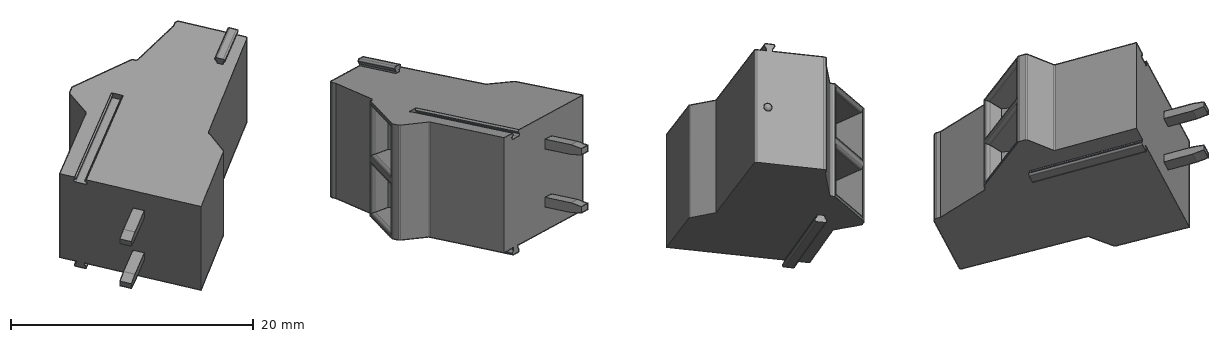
import cadquery as cq
import math


overall_length = 23.1
body_height = 10.07
body_back = 19.4
pole_pitch = 5.08
pole_centers = [(body_height - pole_pitch) / 2, (body_height + pole_pitch) / 2]
front_wall_x = 2.0
base_right_x = 14.25

slant_angle = math.radians(40)
slant_length = 5.87
nose_x = 0.0
nose_top_y = 9.63
nose_bottom_y = 8.92
slant_end_x = nose_x + slant_length * math.sin(slant_angle)
slant_end_y = nose_top_y + slant_length * math.cos(slant_angle)
under_nose_y = nose_bottom_y - (front_wall_x - nose_x) * math.tan(slant_angle)

ledge_inner = (4.18, slant_end_y)
slope_top = (5.87, 18.75)
back_left = (slope_top[0], body_back)
back_right = (12.05, body_back)
right_notch = (12.27, 8.18)
right_shoulder = (14.11, 6.54)

nose_radius = 0.23
ledge_radius = 0.23
back_left_radius = 0.32
small_radius = 0.18

mouth_height = 4.62
mouth_lower_margin = 0.32
mouth_upper_margin = 0.23
lip_radius = 0.28
guide_depth = 1.1
ramp_depth = 1.32
ramp_rise = 1.45
socket_depth = 0.7
socket_height = 2.77

rib_height = 0.62
groove_depth = 0.55
neck_depth = 0.16
head_depth = 0.18
front_dovetail_x = 3.8
front_dovetail_length = 10.0
bottom_neck = 0.7
bottom_head = 1.05
groove_neck = 0.75
groove_mouth = 1.02
groove_head = 1.15
top_rib_x = 10.8
top_rib_length = 3.55
top_neck = 0.53
top_head = 0.9
head_round = 0.16

pin_length = 3.53
pin_taper_length = 1.0
pin_x = 8.85
pin_width = 1.0
pin_thickness = 0.85
pin_tip_thickness = 0.55

dome_x = 10.95
dome_diameter = 0.7
dome_height = overall_length - pin_length - body_back


def make_body():
    corners = [
        (front_wall_x, 0),
        (base_right_x, 0),
        right_shoulder,
        right_notch,
        back_right,
        back_left,
        slope_top,
        ledge_inner,
        (slant_end_x, slant_end_y),
        (nose_x, nose_top_y),
        (nose_x, nose_bottom_y),
        (front_wall_x, under_nose_y),
    ]
    rounded_corners = [
        ((nose_x, nose_top_y), nose_radius),
        ((nose_x, nose_bottom_y), nose_radius),
        ((front_wall_x, under_nose_y), small_radius),
        (ledge_inner, ledge_radius),
        (back_left, back_left_radius),
        (back_right, small_radius),
        (right_shoulder, small_radius),
    ]
    body = cq.Workplane("XY").polyline(corners).close().extrude(body_height)
    for (x, y), radius in rounded_corners:
        corner_edge = cq.selectors.NearestToPointSelector((x, y, body_height / 2))
        body = body.edges("|Z").edges(corner_edge).fillet(radius)
    return body


def make_funnel(center_z):
    """Wire entry: a side profile limited in Z by a tapering height profile."""
    along_slant = cq.Vector(math.sin(slant_angle), math.cos(slant_angle), 0)
    inward = cq.Vector(math.cos(slant_angle), -math.sin(slant_angle), 0)
    origin = cq.Vector(nose_x, nose_top_y, center_z)
    lip_mid_inset = lip_radius * math.sin(math.radians(45))
    lip_mid_depth = lip_radius - lip_mid_inset

    low = mouth_lower_margin
    high = slant_length - mouth_upper_margin
    guide_end = lip_radius + guide_depth
    ramp_end = guide_end + ramp_depth
    floor = ramp_end + socket_depth
    side_plane = cq.Plane(origin=origin, xDir=along_slant, normal=(0, 0, 1))
    side = (
        cq.Workplane(side_plane)
        .moveTo(low, 0)
        .lineTo(high, 0)
        .threePointArc(
            (high - lip_mid_inset, -lip_mid_depth), (high - lip_radius, -lip_radius)
        )
        .lineTo(high - lip_radius, -guide_end)
        .lineTo(high - lip_radius - ramp_rise, -ramp_end)
        .lineTo(high - lip_radius - ramp_rise, -floor)
        .lineTo(low, -floor)
        .close()
        .extrude(mouth_height / 2, both=True)
    )

    mouth = mouth_height / 2
    socket = socket_height / 2
    height_plane = cq.Plane(origin=origin, xDir=inward, normal=along_slant)
    height = (
        cq.Workplane(height_plane)
        .moveTo(0, -mouth)
        .threePointArc((lip_mid_depth, lip_mid_inset - mouth), (lip_radius, lip_radius - mouth))
        .lineTo(ramp_end, -socket)
        .lineTo(floor, -socket)
        .lineTo(floor, socket)
        .lineTo(ramp_end, socket)
        .lineTo(lip_radius, mouth - lip_radius)
        .threePointArc((lip_mid_depth, mouth - lip_mid_inset), (0, mouth))
        .close()
        .extrude(slant_length)
    )
    return side.intersect(height)


def make_dovetail(center_x, face_z, height, root, neck, head, start_y, length):
    """Dovetail bar along +Y; its head lies at face_z + height (height may be negative)."""
    direction = math.copysign(1, height)
    neck_z = face_z + direction * neck_depth
    head_z = face_z + height
    flare_z = head_z - direction * head_depth
    right_side = [
        (root / 2, face_z),
        (neck / 2, neck_z),
        (head / 2, flare_z),
        (head / 2, head_z),
    ]
    left_side = [(-x, z) for x, z in reversed(right_side)]
    bar_plane = cq.Plane(origin=(center_x, start_y, 0), xDir=(1, 0, 0), normal=(0, -1, 0))
    bar = cq.Workplane(bar_plane).polyline(right_side + left_side).close().extrude(-length)
    head_side = ">Z" if height > 0 else "<Z"
    return bar.faces(head_side).edges("|Y").fillet(head_round)


def make_pin(center_z):
    half = pin_thickness / 2
    tip_half = pin_tip_thickness / 2
    taper_start = pin_taper_length - pin_length
    outline = [
        (0, half),
        (taper_start, half),
        (-pin_length, tip_half),
        (-pin_length, -tip_half),
        (taper_start, -half),
        (0, -half),
    ]
    pin_plane = cq.Workplane("YZ", origin=(pin_x, 0, center_z))
    return pin_plane.polyline(outline).close().extrude(pin_width / 2, both=True)


def make_dome():
    sphere_radius = ((dome_diameter / 2) ** 2 + dome_height**2) / (2 * dome_height)
    center_y = body_back + dome_height - sphere_radius
    return cq.Workplane("XY", origin=(dome_x, center_y, body_height / 2)).sphere(sphere_radius)


result = make_body()
groove = make_dovetail(
    front_dovetail_x, body_height, -groove_depth,
    groove_mouth, groove_neck, groove_head, 0, front_dovetail_length,
)
bottom_rib = make_dovetail(
    front_dovetail_x, 0, -rib_height,
    bottom_neck, bottom_neck, bottom_head, 0, front_dovetail_length,
)
top_rib = make_dovetail(
    top_rib_x, body_height, rib_height,
    top_neck, top_neck, top_head, body_back - top_rib_length, top_rib_length,
)
result = result.cut(groove).union(bottom_rib).union(top_rib).union(make_dome())
for pole_z in pole_centers:
    result = result.cut(make_funnel(pole_z)).union(make_pin(pole_z))